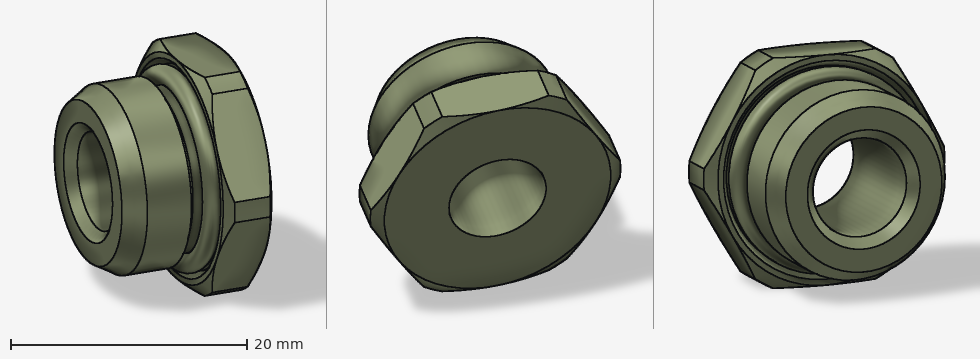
import cadquery as cq
import math

total_length = 12.6
across_flats = 20.0
corner_diameter = 22.1
head_thickness = 4.48
slope = math.tan(math.radians(30))

stem_radius = 8.25
neck_radius = 7.2
neck_end = 6.05
shoulder_length = (stem_radius - neck_radius) * slope
nose_radius = 7.15
nose_length = 1.88

bore_radius = 4.29
bore_mouth_radius = 5.17
bore_chamfer_depth = bore_mouth_radius - bore_radius

ring_protrusion = 1.0
ring_section_radius = 0.88
ring_center_radius = neck_radius + ring_section_radius
recess_depth = 2 * ring_section_radius - ring_protrusion
recess_mouth_radius = 9.48
recess_floor_radius = 8.9


def revolve_about_y(outline):
    """Turn a closed (radius, y) outline into a solid of revolution about Y."""
    return outline.close().revolve(360, (0, 0, 0), (0, 1, 0))


def make_head():
    """Hexagon with its corners rounded to a cylinder and chamfered on both faces."""
    hexagon = (
        cq.Workplane("XZ")
        .polygon(6, across_flats / math.cos(math.pi / 6))
        .extrude(head_thickness)
    )
    corner_radius = corner_diameter / 2
    face_radius = across_flats / 2
    chamfer_depth = (corner_radius - face_radius) * slope
    envelope = revolve_about_y(
        cq.Workplane("XY")
        .moveTo(0, 0)
        .lineTo(face_radius, 0)
        .lineTo(corner_radius, -chamfer_depth)
        .lineTo(corner_radius, chamfer_depth - head_thickness)
        .lineTo(face_radius, -head_thickness)
        .lineTo(0, -head_thickness)
    )
    return hexagon.intersect(envelope)


def make_stem():
    """Neck, sloping shoulder, straight stem and tapered nose."""
    return revolve_about_y(
        cq.Workplane("XY")
        .moveTo(0, -head_thickness / 2)
        .lineTo(neck_radius, -head_thickness / 2)
        .lineTo(neck_radius, -neck_end)
        .lineTo(stem_radius, -neck_end - shoulder_length)
        .lineTo(stem_radius, nose_length - total_length)
        .lineTo(nose_radius, -total_length)
        .lineTo(0, -total_length)
    )


def make_seal_recess():
    """Annular recess around the neck with a tapered outer wall."""
    floor_y = recess_depth - head_thickness
    return revolve_about_y(
        cq.Workplane("XY")
        .moveTo(neck_radius, floor_y)
        .lineTo(recess_floor_radius, floor_y)
        .lineTo(recess_mouth_radius, -head_thickness)
        .lineTo(neck_radius, -head_thickness)
    )


def make_bore():
    """Through bore, widened by a chamfer at the nose."""
    return revolve_about_y(
        cq.Workplane("XY")
        .moveTo(0, 0)
        .lineTo(bore_radius, 0)
        .lineTo(bore_radius, bore_chamfer_depth - total_length)
        .lineTo(bore_mouth_radius, -total_length)
        .lineTo(0, -total_length)
    )


def make_fitting():
    head = make_head().cut(make_seal_recess())
    return head.union(make_stem()).cut(make_bore())


def make_seal_ring():
    """Round-section ring resting on the recess floor and the neck."""
    center_y = ring_section_radius - head_thickness - ring_protrusion
    return (
        cq.Workplane("XY")
        .center(ring_center_radius, center_y)
        .circle(ring_section_radius)
        .revolve(360, (-ring_center_radius, 0, 0), (-ring_center_radius, 1, 0))
    )


fitting = make_fitting()
seal_ring = make_seal_ring()

result = cq.Compound.makeCompound([fitting.val(), seal_ring.val()])